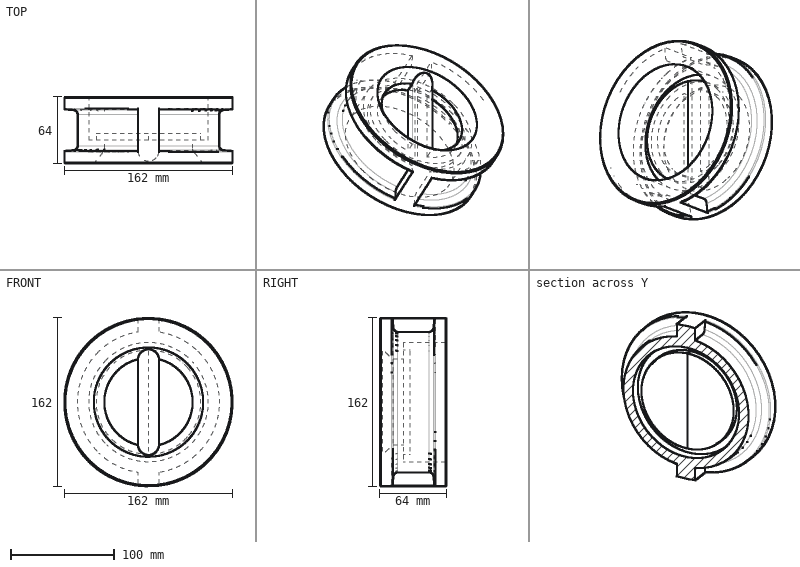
import cadquery as cq
import math


flange_diameter = 162.0
flange_radius = flange_diameter / 2
length = 64.0
neck_diameter = 136.7
neck_radius = neck_diameter / 2
face_chamfer = 1.0

rim_width = 12.0
wall_draft = 5.0
rim_fillet = 1.1
neck_fillet = 4.0

inlet_diameter = 105.3
throat_diameter = 85.0
cone_depth = 12.3
seat_depth = 22.4
chamber_diameter = 115.0

bar_width = 20.2
bar_round_radius = bar_width / 2
bar_nose_depth = cone_depth - bar_round_radius

plate_diameter = 100.5
plate_thickness = 6.5

rim_overrun = 1.6

inlet_y = -length / 2
outlet_y = length / 2
seat_y = inlet_y + seat_depth


def cylinder_along_y(diameter, start_y, end_y):
    """Cylinder around the flow axis between two Y positions."""
    return (
        cq.Workplane("XZ", origin=(0, start_y, 0))
        .circle(diameter / 2)
        .extrude(start_y - end_y)
    )


def point_on_arc(center, radius, angle):
    """Point in (radius, Y) coordinates at an angle in degrees from the radial direction."""
    turn = math.radians(angle)
    return (center[0] + radius * math.cos(turn), center[1] + radius * math.sin(turn))


def make_groove():
    """Void between the flanges, split by the webs left standing at the top and bottom."""
    turn = 90 - wall_draft
    tangent_ratio = math.tan(math.radians(turn / 2))
    rim_y = outlet_y - rim_width
    root_y = rim_y - (flange_radius - neck_radius) * math.tan(math.radians(wall_draft))
    rim_center = (flange_radius - rim_fillet, rim_y + rim_fillet * tangent_ratio)
    neck_center = (neck_radius + neck_fillet, root_y - neck_fillet * tangent_ratio)
    half_groove = (
        cq.Workplane("XY")
        .moveTo(neck_radius, 0)
        .lineTo(*point_on_arc(neck_center, neck_fillet, 180))
        .threePointArc(
            point_on_arc(neck_center, neck_fillet, 180 - turn / 2),
            point_on_arc(neck_center, neck_fillet, 180 - turn),
        )
        .lineTo(*point_on_arc(rim_center, rim_fillet, -turn))
        .threePointArc(
            point_on_arc(rim_center, rim_fillet, -turn / 2),
            point_on_arc(rim_center, rim_fillet, 0),
        )
        .lineTo(flange_radius + rim_overrun, rim_center[1])
        .lineTo(flange_radius + rim_overrun, 0)
        .close()
        .revolve(360, (0, 0, 0), (0, 1, 0))
    )
    groove = half_groove.union(half_groove.mirror("XZ"))
    web_slab = cq.Workplane("XY").box(bar_width, length, 2 * flange_diameter)
    return groove.cut(web_slab)


def make_bore():
    """Void through the housing."""
    cone = (
        cq.Workplane("XZ", origin=(0, inlet_y, 0))
        .circle(inlet_diameter / 2)
        .workplane(offset=-cone_depth)
        .circle(throat_diameter / 2)
        .loft(ruled=True)
    )
    throat = cylinder_along_y(throat_diameter, inlet_y + cone_depth, seat_y)
    chamber = cylinder_along_y(chamber_diameter, seat_y, outlet_y)
    return cone.union(throat).union(chamber)


def make_crossbar():
    """Vertical bar with a half-round nose facing the inlet and a flat back on the seat plane."""
    nose_y = inlet_y + bar_nose_depth
    shoulder_y = nose_y + bar_round_radius
    return (
        cq.Workplane("XY", origin=(0, 0, -inlet_diameter / 2))
        .moveTo(-bar_width / 2, seat_y)
        .lineTo(-bar_width / 2, shoulder_y)
        .threePointArc((0, nose_y), (bar_width / 2, shoulder_y))
        .lineTo(bar_width / 2, seat_y)
        .close()
        .extrude(inlet_diameter)
    )


def make_housing():
    disc = cylinder_along_y(flange_diameter, inlet_y, outlet_y).faces("|Y").edges().chamfer(face_chamfer)
    return disc.cut(make_groove()).cut(make_bore()).union(make_crossbar())


def make_plate(side):
    """Half disc on one side of the X = 0 plane; side is -1 or 1."""
    disc = cylinder_along_y(plate_diameter, seat_y, seat_y + plate_thickness)
    half_space = cq.Workplane("XY").box(plate_diameter, length, plate_diameter)
    return disc.intersect(half_space.translate((side * plate_diameter / 2, 0, 0)))


housing = make_housing()
plates = [make_plate(side) for side in (-1, 1)]
result = cq.Compound.makeCompound([housing.val(), *[plate.val() for plate in plates]])